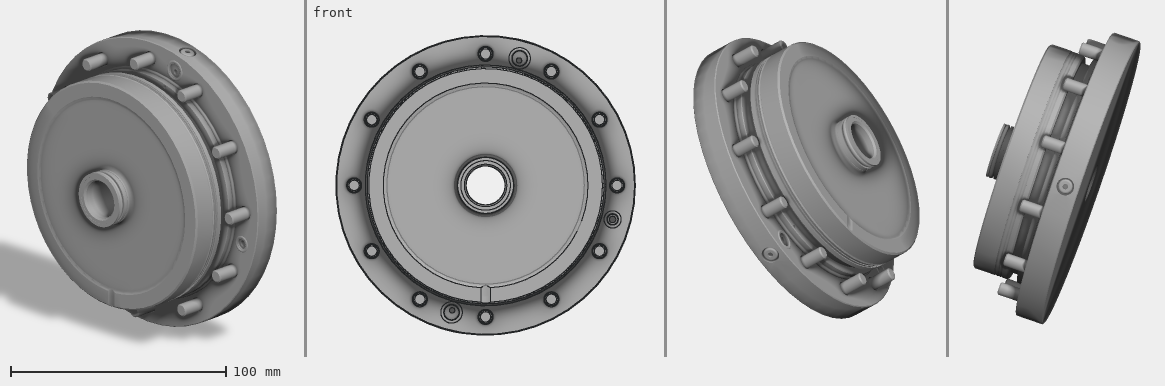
import cadquery as cq
import math


FLANGE_RADIUS = 69.5
FLANGE_THICKNESS = 13.0
FLANGE_CHAMFER = 0.4

SPIGOT_RADIUS = 55.0
SPIGOT_FACE_DEPTH = 39.0
SPIGOT_CHAMFER = 0.8
NECK_RADIUS = 51.3
NECK_START_DEPTH = 17.45
NECK_START_CHAMFER = 0.35
NECK_END_DEPTH = 21.8
NECK_END_CHAMFER = 0.85
SERRATION_START_DEPTH = 24.8
SERRATION_PITCH = 1.3
SERRATION_END_DEPTH = 28.55
SERRATION_HEIGHT = 0.4
SERRATION_FLAT = 0.35

RECESS_DEPTH = 0.5
RECESS_RIM_RADIUS = 47.5
RECESS_FLOOR_RADIUS = 45.8

NOTCH_RADIUS = 5.5
NOTCH_WIDTH = 4.4

HUB_RADIUS = 25.92 / 2
HUB_TIP_DEPTH = 47.3
HUB_ROOT_FILLET = 1.5
HUB_LINER_RADIUS = 11.5
HUB_LINER_SETBACK = 0.1
HUB_BAND_START_DEPTH = 41.3
HUB_BAND_WIDTH = 1.3
HUB_BAND_RELIEF = 0.15
SEAL_GROOVE_START_DEPTH = 43.7
SEAL_GROOVE_WIDTH = 2.6
SEAL_GROOVE_RADIUS = 11.8
BORE_RADIUS = 9.0
BORE_CHAMFER = 0.85

ORING_CORD_RADIUS = 0.9
ORING_GAP_DEPTH = 0.5
HUB_ORING_OUTER_RADIUS = 13.1
HUB_ORING_DEPTH = 45.2
FLANGE_ORING_OUTER_RADIUS = 55.9
FLANGE_ORING_DEPTH = 13.7
FLANGE_ORING_GAP = 0.2

PITCH_RADIUS = 61.0
SCREW_COUNT = 12
SCREW_RADIUS = 3.0
SCREW_TIP_RADIUS = 2.4
SCREW_PROTRUSION = 11.0
SCREW_HOLE_RADIUS = 3.5
SCREW_HOLE_DEPTH = 6.0

LARGE_PORT_ANGLES = (15.0, 195.0)
LARGE_PORT_RADIUS = 5.0
LARGE_PORT_HOLE_RADIUS = 1.25
LARGE_PORT_HOLE_SHIFT = 1.0
SMALL_PORT_ANGLE = 105.0
SMALL_PORT_RADIUS = 4.0
SMALL_PORT_HOLE_RADIUS = 1.5
PORT_HOLE_DEPTH = 5.0
PORT_FLOOR_DEPTH = 1.0
PORT_SEAL_PROTRUSION = 0.3

NECK_HOLE_RADIUS = 0.9
NECK_HOLE_CENTRE_RADIUS = 53.3
NECK_HOLE_LENGTH = 5.0

RIM_PLUG_ANGLES = (15.0, 195.0)
RIM_PLUG_DEPTH = FLANGE_THICKNESS / 2
RIM_POCKET_RADIUS = 4.1
RIM_POCKET_DEPTH = 2.0
RIM_PLUG_RADIUS = 3.4
RIM_PLUG_FILLET = 1.0
RIM_PLUG_SOCKET_RADIUS = 1.25
RIM_PLUG_SOCKET_DEPTH = 1.5

OVERCUT = 1.0


def axial_cylinder(radius, x, z, start_depth, end_depth):
    """Cylinder parallel to Y between two depths."""
    start = cq.Vector(x, -start_depth, z)
    return cq.Workplane(cq.Solid.makeCylinder(radius, end_depth - start_depth, start, cq.Vector(0, -1, 0)))


def pitch_position(angle, radius=PITCH_RADIUS):
    """X and Z of a point on a circle, the angle running clockwise from +Z."""
    turn = math.radians(angle)
    return radius * math.sin(turn), radius * math.cos(turn)


def make_turned_body():
    """Flange, spigot and hub as one revolved profile of (radius, -depth) points."""
    floor_depth = SPIGOT_FACE_DEPTH - RECESS_DEPTH
    dish_width = RECESS_RIM_RADIUS - RECESS_FLOOR_RADIUS
    dish_radius = (dish_width**2 + RECESS_DEPTH**2) / (2 * RECESS_DEPTH)
    half_dish_angle = math.asin(dish_width / dish_radius) / 2
    dish_middle = (
        RECESS_FLOOR_RADIUS + dish_radius * math.sin(half_dish_angle),
        -floor_depth - dish_radius * (1 - math.cos(half_dish_angle)),
    )
    fillet_bulge = HUB_ROOT_FILLET * (1 - math.sqrt(0.5))
    serration_root = SPIGOT_RADIUS - SERRATION_HEIGHT
    second_serration_depth = SERRATION_START_DEPTH + SERRATION_PITCH
    third_serration_depth = second_serration_depth + SERRATION_PITCH
    flange_ring_centre = FLANGE_ORING_OUTER_RADIUS - ORING_CORD_RADIUS
    flange_ring_buried = FLANGE_ORING_DEPTH - FLANGE_THICKNESS
    flange_ring_root = flange_ring_centre + math.sqrt(ORING_CORD_RADIUS**2 - flange_ring_buried**2)
    flange_ring_end_depth = FLANGE_ORING_DEPTH + ORING_CORD_RADIUS
    flange_gap_end_depth = flange_ring_end_depth + FLANGE_ORING_GAP
    flange_gap_radius = flange_ring_centre - ORING_GAP_DEPTH
    band_radius = HUB_RADIUS - HUB_BAND_RELIEF
    band_end_depth = HUB_BAND_START_DEPTH + HUB_BAND_WIDTH
    seal_groove_end_depth = SEAL_GROOVE_START_DEPTH + SEAL_GROOVE_WIDTH
    hub_ring_centre = HUB_ORING_OUTER_RADIUS - ORING_CORD_RADIUS
    hub_ring_start_depth = HUB_ORING_DEPTH - ORING_CORD_RADIUS
    hub_ring_end_depth = HUB_ORING_DEPTH + ORING_CORD_RADIUS
    liner_depth = HUB_TIP_DEPTH - HUB_LINER_SETBACK

    profile = (
        cq.Workplane("XY")
        .moveTo(BORE_RADIUS, 0)
        .lineTo(FLANGE_RADIUS - FLANGE_CHAMFER, 0)
        .lineTo(FLANGE_RADIUS, -FLANGE_CHAMFER)
        .lineTo(FLANGE_RADIUS, -FLANGE_THICKNESS + FLANGE_CHAMFER)
        .lineTo(FLANGE_RADIUS - FLANGE_CHAMFER, -FLANGE_THICKNESS)
        .lineTo(flange_ring_root, -FLANGE_THICKNESS)
        .threePointArc(
            (FLANGE_ORING_OUTER_RADIUS, -FLANGE_ORING_DEPTH),
            (flange_ring_centre, -flange_ring_end_depth),
        )
        .lineTo(flange_gap_radius, -flange_ring_end_depth)
        .lineTo(flange_gap_radius, -flange_gap_end_depth)
        .lineTo(SPIGOT_RADIUS, -flange_gap_end_depth)
        .lineTo(SPIGOT_RADIUS, -NECK_START_DEPTH + NECK_START_CHAMFER)
        .lineTo(SPIGOT_RADIUS - NECK_START_CHAMFER, -NECK_START_DEPTH)
        .lineTo(NECK_RADIUS, -NECK_START_DEPTH)
        .lineTo(NECK_RADIUS, -NECK_END_DEPTH)
        .lineTo(SPIGOT_RADIUS - NECK_END_CHAMFER, -NECK_END_DEPTH)
        .lineTo(SPIGOT_RADIUS, -NECK_END_DEPTH - NECK_END_CHAMFER)
        .lineTo(SPIGOT_RADIUS, -SERRATION_START_DEPTH)
        .lineTo(serration_root, -SERRATION_START_DEPTH)
        .lineTo(serration_root, -SERRATION_START_DEPTH - SERRATION_FLAT)
        .lineTo(SPIGOT_RADIUS, -second_serration_depth)
        .lineTo(serration_root, -second_serration_depth)
        .lineTo(serration_root, -second_serration_depth - SERRATION_FLAT)
        .lineTo(SPIGOT_RADIUS, -third_serration_depth)
        .lineTo(serration_root, -SERRATION_END_DEPTH + SERRATION_FLAT)
        .lineTo(serration_root, -SERRATION_END_DEPTH)
        .lineTo(SPIGOT_RADIUS, -SERRATION_END_DEPTH)
        .lineTo(SPIGOT_RADIUS, -SPIGOT_FACE_DEPTH + SPIGOT_CHAMFER)
        .lineTo(SPIGOT_RADIUS - SPIGOT_CHAMFER, -SPIGOT_FACE_DEPTH)
        .lineTo(RECESS_RIM_RADIUS, -SPIGOT_FACE_DEPTH)
        .threePointArc(dish_middle, (RECESS_FLOOR_RADIUS, -floor_depth))
        .lineTo(HUB_RADIUS + HUB_ROOT_FILLET, -floor_depth)
        .threePointArc(
            (HUB_RADIUS + fillet_bulge, -floor_depth - fillet_bulge),
            (HUB_RADIUS, -floor_depth - HUB_ROOT_FILLET),
        )
        .lineTo(HUB_RADIUS, -HUB_BAND_START_DEPTH)
        .lineTo(band_radius, -HUB_BAND_START_DEPTH)
        .lineTo(band_radius, -band_end_depth)
        .lineTo(HUB_RADIUS, -band_end_depth)
        .lineTo(HUB_RADIUS, -SEAL_GROOVE_START_DEPTH)
        .lineTo(SEAL_GROOVE_RADIUS, -SEAL_GROOVE_START_DEPTH)
        .lineTo(SEAL_GROOVE_RADIUS, -hub_ring_start_depth)
        .lineTo(hub_ring_centre, -hub_ring_start_depth)
        .threePointArc(
            (HUB_ORING_OUTER_RADIUS, -HUB_ORING_DEPTH),
            (hub_ring_centre, -hub_ring_end_depth),
        )
        .lineTo(SEAL_GROOVE_RADIUS, -hub_ring_end_depth)
        .lineTo(SEAL_GROOVE_RADIUS, -seal_groove_end_depth)
        .lineTo(HUB_RADIUS, -seal_groove_end_depth)
        .lineTo(HUB_RADIUS, -HUB_TIP_DEPTH)
        .lineTo(HUB_LINER_RADIUS, -HUB_TIP_DEPTH)
        .lineTo(HUB_LINER_RADIUS, -liner_depth)
        .lineTo(BORE_RADIUS + BORE_CHAMFER, -liner_depth)
        .lineTo(BORE_RADIUS, -liner_depth + BORE_CHAMFER)
        .close()
    )
    return profile.revolve(360, (0, 0, 0), (0, 1, 0))


def cut_notch(body):
    """Round-bottomed radial notch at the lowest point of the spigot rim."""
    axis_height = math.sqrt(NOTCH_RADIUS**2 - (NOTCH_WIDTH / 2) ** 2)
    start = cq.Vector(0, -SPIGOT_FACE_DEPTH - axis_height, -RECESS_FLOOR_RADIUS + OVERCUT)
    length = SPIGOT_RADIUS - RECESS_FLOOR_RADIUS + 2 * OVERCUT
    return body.cut(cq.Workplane(cq.Solid.makeCylinder(NOTCH_RADIUS, length, start, cq.Vector(0, 0, -1))))


def add_screws(body):
    """Screws standing out of clearance holes, evenly spaced on the pitch circle."""
    hole_floor_depth = FLANGE_THICKNESS - SCREW_HOLE_DEPTH
    tip_depth = FLANGE_THICKNESS + SCREW_PROTRUSION
    for index in range(SCREW_COUNT):
        x, z = pitch_position(index * 360 / SCREW_COUNT)
        hole = axial_cylinder(SCREW_HOLE_RADIUS, x, z, hole_floor_depth, FLANGE_THICKNESS + OVERCUT)
        screw = axial_cylinder(SCREW_RADIUS, x, z, hole_floor_depth - OVERCUT, tip_depth)
        screw = screw.faces("<Y").chamfer(SCREW_RADIUS - SCREW_TIP_RADIUS)
        body = body.cut(hole).union(screw)
    return body


def add_port(body, angle, outer_radius, hole_radius, hole_shift):
    """Round pocket rimmed by a proud O-ring, its hole shifted toward the part axis."""
    centre_depth = FLANGE_THICKNESS + PORT_SEAL_PROTRUSION - ORING_CORD_RADIUS
    buried = FLANGE_THICKNESS - centre_depth
    ring_radius = outer_radius - math.sqrt(ORING_CORD_RADIUS**2 - buried**2)
    inner_radius = ring_radius - ORING_CORD_RADIUS
    floor_depth = FLANGE_THICKNESS - PORT_FLOOR_DEPTH
    x, z = pitch_position(angle)
    pocket = axial_cylinder(inner_radius, x, z, floor_depth, FLANGE_THICKNESS + OVERCUT)

    hole_x, hole_z = pitch_position(angle, PITCH_RADIUS - hole_shift)
    hole = axial_cylinder(hole_radius, hole_x, hole_z, FLANGE_THICKNESS - PORT_HOLE_DEPTH, FLANGE_THICKNESS)

    bead = (
        cq.Workplane("XY")
        .moveTo(inner_radius, -floor_depth)
        .lineTo(inner_radius, -centre_depth)
        .threePointArc(
            (ring_radius, -FLANGE_THICKNESS - PORT_SEAL_PROTRUSION),
            (outer_radius, -FLANGE_THICKNESS),
        )
        .lineTo(outer_radius, -floor_depth)
        .close()
        .revolve(360, (0, 0, 0), (0, 1, 0))
        .translate((x, 0, z))
    )
    return body.cut(pocket).cut(hole).union(bead)


def cut_neck_hole(body, angle):
    """Axial hole in the wall of the neck groove."""
    x, z = pitch_position(angle, NECK_HOLE_CENTRE_RADIUS)
    start_depth = NECK_START_DEPTH - NECK_HOLE_LENGTH
    return body.cut(axial_cylinder(NECK_HOLE_RADIUS, x, z, start_depth, NECK_START_DEPTH))


def add_rim_plug(body, angle):
    """Domed plug with a socket, sunk in a round pocket in the flange rim."""
    pocket_floor = FLANGE_RADIUS - RIM_POCKET_DEPTH
    pocket = cq.Workplane("XY", origin=(0, -RIM_PLUG_DEPTH, pocket_floor))
    pocket = pocket.circle(RIM_POCKET_RADIUS).extrude(RIM_POCKET_DEPTH + OVERCUT)
    plug = cq.Workplane("XY", origin=(0, -RIM_PLUG_DEPTH, pocket_floor - OVERCUT))
    plug = plug.circle(RIM_PLUG_RADIUS).extrude(RIM_POCKET_DEPTH + OVERCUT)
    plug = plug.faces(">Z").edges().fillet(RIM_PLUG_FILLET)
    plug = plug.faces(">Z").workplane().circle(RIM_PLUG_SOCKET_RADIUS).cutBlind(-RIM_PLUG_SOCKET_DEPTH)
    pocket = pocket.rotate((0, 0, 0), (0, 1, 0), angle)
    plug = plug.rotate((0, 0, 0), (0, 1, 0), angle)
    return body.cut(pocket).union(plug)


body = cut_notch(make_turned_body())
body = add_screws(body)
for port_angle in LARGE_PORT_ANGLES:
    body = add_port(body, port_angle, LARGE_PORT_RADIUS, LARGE_PORT_HOLE_RADIUS, LARGE_PORT_HOLE_SHIFT)
    body = cut_neck_hole(body, port_angle)
body = add_port(body, SMALL_PORT_ANGLE, SMALL_PORT_RADIUS, SMALL_PORT_HOLE_RADIUS, 0)
for plug_angle in RIM_PLUG_ANGLES:
    body = add_rim_plug(body, plug_angle)

result = body